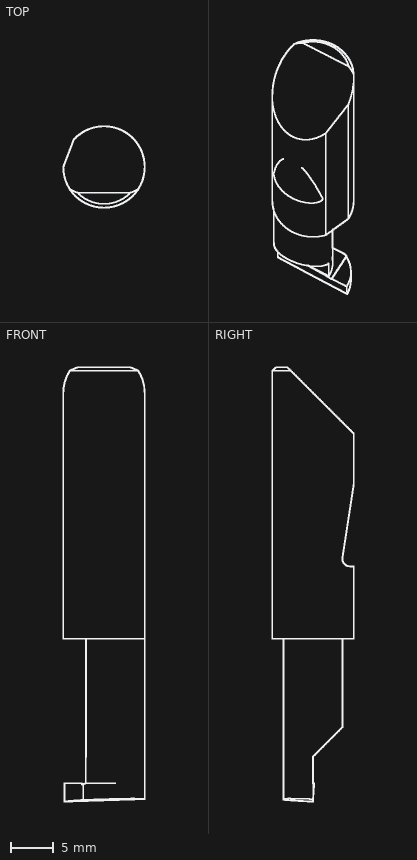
import cadquery as cq

shank_radius = 4.75
total_height = 50.8
shank_bottom = 19.05
rim_inset = 0.45
rim_height = 0.4
top_flat_edge = -3.0
flat_end_x = -3.55
flat_end_y = (shank_radius**2 - flat_end_x**2) ** 0.5

notch_depth = 1.45
notch_top = 37.1
notch_bottom = 27.55
notch_radius = 0.85

neck_radius = 3.45
neck_x = shank_radius - neck_radius
relief_bottom = 5.3

tip_x = -4.6
head_top = 2.2
nose_corner = (-2.8, -3.15)
nose_mid = (-4.15, -1.7)
front_corner_x = -2.45
rake_rise = 0.15
chip_groove_x = -2.6
chip_groove_end = -2.05
chip_groove_depth = 0.15
bottom_rise_x = 0.3
bottom_rise_y = 0.15

margin = 2.55


def side_prism(outline):
    """Closed (Y, Z) outline carried across the full width in X."""
    half_width = shank_radius + margin
    return cq.Workplane("YZ").polyline(outline).close().extrude(half_width, both=True)


def make_shank():
    rim_radius = shank_radius - rim_inset
    rim_bottom = total_height - rim_height
    body = (
        cq.Workplane("XZ")
        .moveTo(0, shank_bottom)
        .lineTo(shank_radius, shank_bottom)
        .lineTo(shank_radius, rim_bottom)
        .lineTo(rim_radius, total_height)
        .lineTo(0, total_height)
        .close()
        .revolve(360, (0, 0, 0), (0, 1, 0))
    )
    bevel_y = shank_radius + margin
    bevel_drop = bevel_y - top_flat_edge
    bevel = side_prism([
        (top_flat_edge, total_height),
        (bevel_y, total_height),
        (bevel_y, total_height - bevel_drop),
    ])
    flat = (
        cq.Workplane("XY", origin=(0, 0, shank_bottom))
        .moveTo(-shank_radius, 0)
        .lineTo(flat_end_x, flat_end_y)
        .lineTo(-shank_radius - margin, flat_end_y)
        .lineTo(-shank_radius - margin, 0)
        .close()
        .extrude(total_height - shank_bottom)
    )
    return body.cut(bevel).cut(flat).cut(make_notch())


def make_notch():
    floor_y = shank_radius - notch_depth
    notch = side_prism([
        (shank_radius, notch_top),
        (floor_y, notch_bottom),
        (shank_radius, notch_bottom),
    ])
    return notch.edges("|X").edges("<Y").fillet(notch_radius)


def make_neck():
    bar = cq.Workplane("XY").center(neck_x, 0).circle(neck_radius).extrude(shank_bottom)
    relief_y = neck_radius + margin
    relief = side_prism([
        (0, -margin),
        (0, relief_bottom),
        (relief_y, relief_bottom + relief_y),
        (relief_y, -margin),
    ])
    return bar.cut(relief)


def make_head():
    head = (
        cq.Workplane("XY")
        .moveTo(tip_x, rake_rise)
        .threePointArc(nose_mid, nose_corner)
        .lineTo(front_corner_x, -neck_radius)
        .lineTo(neck_x, -neck_radius)
        .lineTo(neck_x, 0)
        .lineTo(front_corner_x, rake_rise)
        .close()
        .extrude(head_top)
    )
    rake = side_prism([(0, 0), (rake_rise, head_top), (margin, head_top), (margin, 0)])
    chip_groove = (
        cq.Workplane("XZ")
        .moveTo(chip_groove_x, head_top)
        .lineTo(chip_groove_x, head_top - chip_groove_depth)
        .lineTo(chip_groove_end, head_top)
        .close()
        .extrude(shank_radius + margin, both=True)
    )
    return head.cut(rake).cut(chip_groove)


def bottom_relief():
    """Wedge below a bottom face that rises from the tip towards +X and -Y."""
    slope_x = bottom_rise_x / (shank_radius - tip_x)
    slope_y = -bottom_rise_y / neck_radius
    plane = cq.Plane(origin=(tip_x, 0, 0), normal=(-slope_x, -slope_y, 1))
    wedge_side = 6 * shank_radius
    return cq.Workplane(plane).rect(wedge_side, wedge_side).extrude(-margin)


tool_end = make_neck().union(make_head()).cut(bottom_relief())
result = make_shank().union(tool_end)